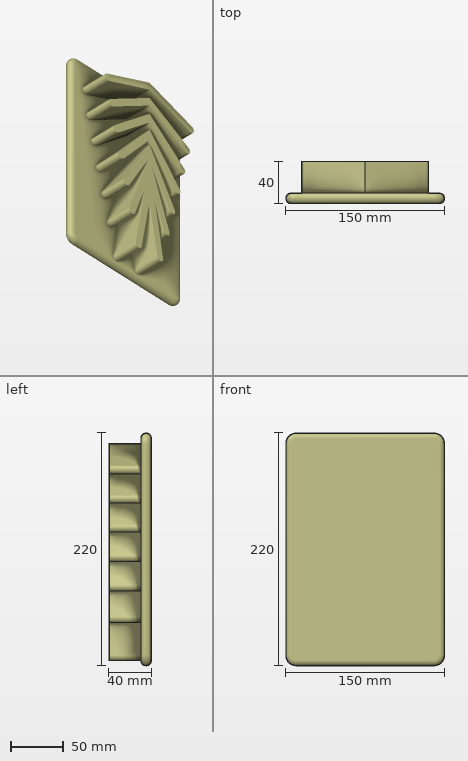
import cadquery as cq
import math

height = 220.0
width = 150.0
depth = 40.0

plate_thickness = 10.0
rim_radius = plate_thickness / 2
corner_radius = 2 * rim_radius

rib_thickness = 8.0
first_angle = 20.0
angle_step = 10.0
tip_centres = [
    (56.0, 75.5),
    (51.0, 47.7),
    (44.5, 20.2),
    (37.8, -7.5),
    (30.8, -35.5),
    (23.3, -65.3),
    (14.5, -101.2),
]


def make_plate():
    """Rounded rectangle whose outer edge is a half circle in section."""
    core_width = width - 2 * rim_radius
    core_height = height - 2 * rim_radius
    core_corner_radius = corner_radius - rim_radius
    core = (
        cq.Workplane("XZ")
        .rect(core_width, core_height)
        .extrude(-plate_thickness)
        .edges("|Y")
        .fillet(core_corner_radius)
    )
    rim_path = core.faces("<Y").wires().val().translate(cq.Vector(0, rim_radius, 0))
    rim = (
        cq.Workplane("XY")
        .moveTo(core_width / 2, 0)
        .threePointArc((width / 2, rim_radius), (core_width / 2, plate_thickness))
        .close()
        .sweep(cq.Workplane(rim_path))
    )
    return core.union(rim)


def make_arm(tip_x, tip_z, angle, side):
    """One half of a chevron, sloping from its peak at X = 0 down to a rounded tip."""
    slope = math.radians(angle)
    half_thickness = rib_thickness / 2
    peak_z = tip_z + tip_x * math.tan(slope)
    peak_offset = half_thickness / math.cos(slope)
    across_x = half_thickness * math.sin(slope)
    across_z = half_thickness * math.cos(slope)
    tip_end = (side * (tip_x + across_z), tip_z - across_x)
    return (
        cq.Workplane("XZ", origin=(0, plate_thickness, 0))
        .moveTo(0, peak_z + peak_offset)
        .lineTo(side * (tip_x + across_x), tip_z + across_z)
        .threePointArc(tip_end, (side * (tip_x - across_x), tip_z - across_z))
        .lineTo(0, peak_z - peak_offset)
        .close()
        .extrude(plate_thickness - depth)
    )


result = make_plate()
for index, (tip_x, tip_z) in enumerate(tip_centres):
    rib_angle = first_angle + index * angle_step
    for side in (-1, 1):
        result = result.union(make_arm(tip_x, tip_z, rib_angle, side))